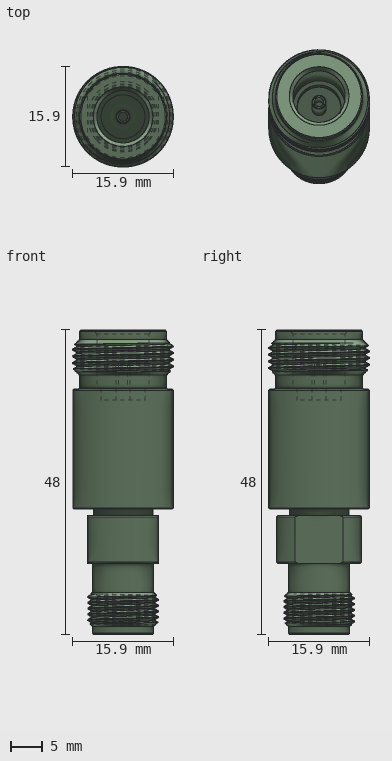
import cadquery as cq
import math


total_height = 48.0
socket_thread_top = 46.5
socket_thread_bottom = 40.9
body_top = 38.7
body_bottom = 19.8
nut_top = 18.75
nut_bottom = 11.2
tail_thread_top = 6.6
tail_thread_bottom = 1.25

body_diameter = 15.9
body_radius = body_diameter / 2
socket_radius = 6.85
neck_radius = 4.7
nut_radius = 6.7
nut_flat_distance = 5.55
tail_radius = 4.85

edge_break = 0.2
nut_edge_break = 0.25

flank_angle = 30.0
crest_width = 0.15
socket_major_radius = body_radius
socket_pitch = 1.05
socket_thread_depth = 0.6
socket_groove_z = 44.95
socket_seam_angle = 65.0
tail_major_radius = nut_flat_distance
tail_pitch = 0.9
tail_thread_depth = 0.5
tail_groove_z = 4.1
tail_seam_angle = 315.0

bore_radius = 4.15
bore_depth = 9.1
bore_chamfer = 0.6
inner_bore_radius = 3.45
inner_bore_depth = 11.05
pin_radius = 1.1
pin_tip_depth = 5.3
pin_hole_radius = 0.7
pin_hole_depth = 3.85
pin_edge_break = 0.15


def cylinder(radius, bottom, top):
    return cq.Workplane("XY").workplane(offset=bottom).circle(radius).extrude(top - bottom)


def thread(major_radius, core_radius, depth, pitch, bottom, top, groove_z, seam_angle):
    """Threaded collar with conical ends, cut by one helical groove.

    The collar's seam line is turned by seam_angle so that the groove crosses it cleanly.
    """
    end_cone = major_radius - core_radius
    collar = cylinder(major_radius, bottom, top).edges().chamfer(end_cone)
    collar = collar.rotate((0, 0, 0), (0, 0, 1), seam_angle)

    start_z = groove_z - pitch * math.ceil((groove_z - bottom) / pitch)
    turns = math.ceil((top - start_z) / pitch)
    helix = cq.Wire.makeHelix(pitch, turns * pitch, major_radius, center=cq.Vector(0, 0, start_z))

    overshoot = 0.05
    flank_slope = math.tan(math.radians(flank_angle))
    outer_half = (pitch - crest_width) / 2 + overshoot * flank_slope
    root_half = (pitch - crest_width) / 2 - depth * flank_slope
    root_radius = major_radius - depth
    outer_radius = major_radius + overshoot
    groove = (
        cq.Workplane("XZ")
        .polyline([
            (root_radius, start_z - root_half),
            (outer_radius, start_z - outer_half),
            (outer_radius, start_z + outer_half),
            (root_radius, start_z + root_half),
        ])
        .close()
        .sweep(cq.Workplane(obj=helix), isFrenet=True)
    )
    return collar.cut(groove)


def wrench_nut():
    """Round collar with two wrench flats facing -X and +X."""
    collar = cylinder(nut_radius, nut_bottom, nut_top).edges().chamfer(nut_edge_break)
    flats = (
        cq.Workplane("XY")
        .workplane(offset=nut_bottom)
        .rect(2 * nut_flat_distance, 2 * nut_radius)
        .extrude(nut_top - nut_bottom)
    )
    return collar.intersect(flats)


def socket_cavity():
    """Stepped bore with a chamfered mouth."""
    bore = cylinder(bore_radius, total_height - bore_depth, total_height)
    inner_bore = cylinder(inner_bore_radius, total_height - inner_bore_depth, total_height)
    mouth = cq.Workplane(
        cq.Solid.makeCone(
            bore_radius,
            bore_radius + bore_chamfer,
            bore_chamfer,
            pnt=cq.Vector(0, 0, total_height - bore_chamfer),
        )
    )
    return bore.union(inner_bore).union(mouth)


def contact_pin():
    """Hollow centre pin standing on the floor of the bore."""
    pin_top = total_height - pin_tip_depth
    pin = cylinder(pin_radius, total_height - inner_bore_depth, pin_top)
    pin = pin.faces(">Z").edges().chamfer(pin_edge_break)
    return pin.cut(cylinder(pin_hole_radius, pin_top - pin_hole_depth, pin_top))


socket_lip = cylinder(socket_radius, socket_thread_top, total_height)
socket_lip = socket_lip.faces(">Z").edges().chamfer(edge_break)
socket_relief = cylinder(socket_radius, body_top, socket_thread_bottom)
socket_base = cq.Workplane(
    cq.Solid.makeCone(
        socket_radius + edge_break, socket_radius, edge_break, pnt=cq.Vector(0, 0, body_top)
    )
)
body = cylinder(body_radius, body_bottom, body_top).edges().chamfer(edge_break)
neck = cylinder(neck_radius, nut_top, body_bottom)
tail_tube = cylinder(tail_radius, tail_thread_top, nut_bottom)
tail_tip = cylinder(tail_radius, 0, tail_thread_bottom).faces("<Z").edges().chamfer(edge_break)

socket_thread = thread(
    socket_major_radius, socket_radius, socket_thread_depth, socket_pitch,
    socket_thread_bottom, socket_thread_top, socket_groove_z, socket_seam_angle,
)
tail_thread = thread(
    tail_major_radius, tail_radius, tail_thread_depth, tail_pitch,
    tail_thread_bottom, tail_thread_top, tail_groove_z, tail_seam_angle,
)

result = tail_tip
for part in (
    tail_thread, tail_tube, wrench_nut(), neck, body,
    socket_base, socket_relief, socket_thread, socket_lip,
):
    result = result.union(part)
result = result.cut(socket_cavity()).union(contact_pin())